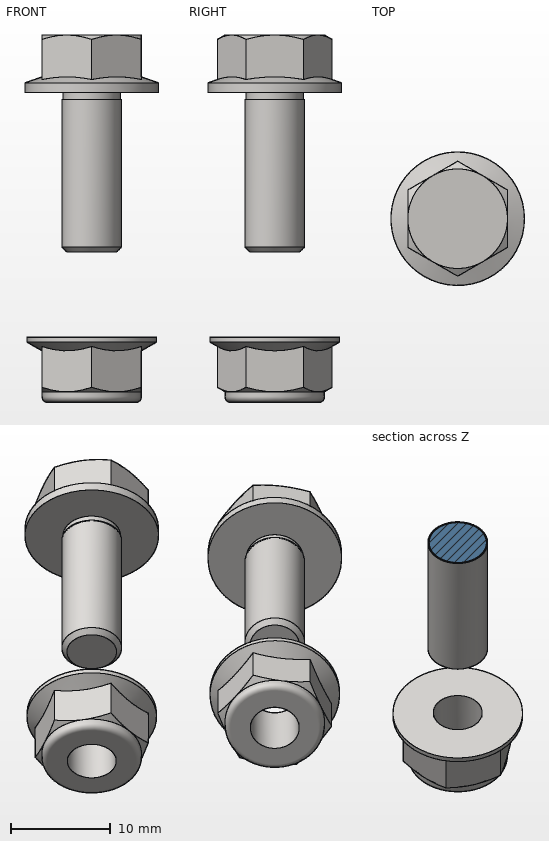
import cadquery as cq
import math

across_flats = 10.0
hex_chamfer_angle = 30.0

bolt_top = 36.85
head_height = 5.8
bolt_flange_diameter = 13.4
bolt_flange_rim = 1.0
bolt_flange_angle = 19.0
shank_diameter = 6.0
shank_length = 16.0
neck_diameter = 5.8
neck_length = 0.65
tip_diameter = 4.97

nut_height = 6.55
nut_flange_diameter = 13.0
nut_flange_rim = 0.5
nut_flange_angle = 30.0
nut_bore_diameter = 4.9
collar_height = 1.07
collar_fillet = 0.55

flat_radius = across_flats / 2
corner_radius = flat_radius / math.cos(math.radians(30))
seat_z = bolt_top - head_height
tip_z = seat_z - shank_length


def hex_prism(bottom, height):
    """Hexagonal prism with corners on the Y axis and flats facing X."""
    prism = cq.Workplane("XY").polygon(6, 2 * corner_radius).extrude(height)
    return prism.rotate((0, 0, 0), (0, 0, 1), 30).translate((0, 0, bottom))


def revolved(profile):
    """Solid of revolution about Z from (radius, height) points."""
    return cq.Workplane("XZ").polyline(profile).close().revolve(360, (0, 0, 0), (0, 1, 0))


def chamfered_hex(end, base):
    """Hexagonal prism from base to end, its corners cut by a cone at the end."""
    hexagon = hex_prism(min(end, base), abs(end - base))
    envelope_radius = across_flats
    drop = (envelope_radius - flat_radius) * math.tan(math.radians(hex_chamfer_angle))
    inward = math.copysign(1, base - end)
    envelope = revolved([
        (0, end),
        (flat_radius, end),
        (envelope_radius, end + inward * drop),
        (envelope_radius, base + inward * drop),
        (0, base + inward * drop),
    ])
    return hexagon.intersect(envelope)


def conical_flange(seat, diameter, rim, angle, direction):
    """Flange with a flat seat and a straight rim, coned towards the hexagon.

    The direction is +1 when the hexagon is above the seat and -1 when below.
    """
    radius = diameter / 2
    inner_radius = shank_diameter / 2
    rise = (radius - inner_radius) * math.tan(math.radians(angle))
    return revolved([
        (0, seat),
        (radius, seat),
        (radius, seat + direction * rim),
        (inner_radius, seat + direction * (rim + rise)),
        (0, seat + direction * (rim + rise)),
    ])


def make_shank():
    """Shank with a slightly narrower neck under the head and a 45 degree tip."""
    shank_radius = shank_diameter / 2
    tip_radius = tip_diameter / 2
    neck_radius = neck_diameter / 2
    return revolved([
        (0, tip_z),
        (tip_radius, tip_z),
        (shank_radius, tip_z + shank_radius - tip_radius),
        (shank_radius, seat_z - neck_length),
        (neck_radius, seat_z - neck_length),
        (neck_radius, seat_z),
        (0, seat_z),
    ])


def make_bolt():
    """Flanged hexagon bolt."""
    head = chamfered_hex(bolt_top, seat_z)
    flange = conical_flange(seat_z, bolt_flange_diameter, bolt_flange_rim, bolt_flange_angle, 1)
    return head.union(flange).union(make_shank())


def make_nut():
    """Flanged hexagon nut with a rounded collar and a through bore."""
    hexagon = chamfered_hex(collar_height, nut_height)
    flange = conical_flange(nut_height, nut_flange_diameter, nut_flange_rim, nut_flange_angle, -1)
    collar = cq.Workplane("XY").circle(flat_radius).extrude(collar_height)
    collar = collar.faces("<Z").edges().fillet(collar_fillet)
    bore = cq.Workplane("XY").circle(nut_bore_diameter / 2).extrude(nut_height)
    return hexagon.union(flange).union(collar).cut(bore)


bolt = make_bolt()
nut = make_nut()
result = cq.Compound.makeCompound([bolt.val(), nut.val()])